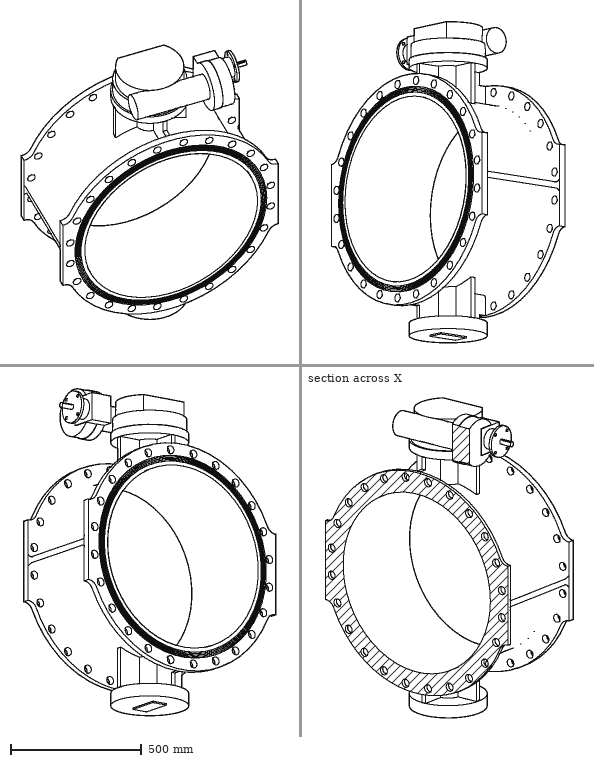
import cadquery as cq
import math

BORE_R = 718 / 2
WALL = 10
BARREL_R = BORE_R + WALL
FLANGE_R = 447.5
FLANGE_OUTER_X = 209
FLANGE_THICKNESS = 28
FLANGE_INNER_X = FLANGE_OUTER_X - FLANGE_THICKNESS
BARREL_FILLET = 12

EAR_HALF_HEIGHT = 160
EAR_FILLET = 40

FACE_R = 794 / 2
FACE_HEIGHT = 6
FACE_X = FLANGE_OUTER_X + FACE_HEIGHT
GROOVE_INNER_RADII = (375, 386)
GROOVE_WIDTH = 5.5
GROOVE_DEPTH = 2

BOLT_COUNT = 24
BOLT_CIRCLE_R = 420
BOLT_R = 31 / 2

SIDE_RIB_THICKNESS = 24
SIDE_RIB_Y = 439
SIDE_RIB_FILLET = 12
RIB_END_FILLET = 8

SEAM_TOL = 1

POST_R = 115 / 2
POST_Z = 497
PLATE_R = 300 / 2
ACROSS_RIB_THICKNESS = 16
ACROSS_RIB_HALF_WIDTH = 151.5
ALONG_RIB_THICKNESS = 20
ALONG_RIB_HALF_WIDTH = 146
BOTTOM_PLATE_Z = -547
PAD_LENGTH = 128
PAD_WIDTH = 64

TOP_PLATE_Z = 531
HOUSING_R = 285 / 2
HOUSING_Z = 589
COVER_R = 263 / 2
COVER_Z = 655
COVER_FLAT_X = -90

TOTAL_HEIGHT = 1252.42
DISC_R = 95
RIM_R = 93
WORM_X = 136
WORM_Z = 605
PAD_Z = WORM_Z + DISC_R - TOTAL_HEIGHT
WORM_R = 100 / 2
WORM_START_Y = -125
DISC_START_Y = 174
DISC_END_Y = 209
RIM_END_Y = 259
BLOCK_END_Y = 263
BLOCK_START_X = 16
BLOCK_END_X = 126
BLOCK_HALF_HEIGHT = 54

INPUT_X = 72.5
NECK_R = 80 / 2
INPUT_FLANGE_R = 125 / 2
INPUT_FLANGE_START_Y = 307
INPUT_FLANGE_END_Y = 317.5
INPUT_HOLE_R = 10.5 / 2
INPUT_HOLE_CIRCLE_R = 51
INPUT_HOLE_COUNT = 4
SHAFT_R = 20 / 2
SHAFT_END_Y = 369
KEYWAY_WIDTH = 6
KEYWAY_DEPTH = 3.5
KEYWAY_START_Y = 323
KEYWAY_END_Y = 363


def x_cylinder(radius, x_start, x_end):
    return cq.Workplane("YZ", origin=(x_start, 0, 0)).circle(radius).extrude(x_end - x_start)


def y_cylinder(radius, x, y_start, y_end):
    return cq.Workplane("XZ", origin=(x, y_start, WORM_Z)).circle(radius).extrude(y_start - y_end)


def z_cylinder(radius, z_start, z_end):
    return cq.Workplane("XY", origin=(0, 0, z_start)).circle(radius).extrude(z_end - z_start)


def box(x_range, y_range, z_range):
    sizes = [high - low for low, high in (x_range, y_range, z_range)]
    corner = (x_range[0], y_range[0], z_range[0])
    return cq.Workplane("XY").box(*sizes, centered=False).translate(corner)


def flange(x_start):
    """Round flange blended by concave arcs into a flat ear on each side."""
    blend_z = EAR_HALF_HEIGHT + EAR_FILLET
    blend_y = math.sqrt((FLANGE_R + EAR_FILLET) ** 2 - blend_z ** 2)
    shrink = FLANGE_R / (FLANGE_R + EAR_FILLET)
    tangent_y = blend_y * shrink
    tangent_z = blend_z * shrink
    bisector = (math.atan2(blend_z, blend_y) + math.pi / 2) / 2
    middle_y = blend_y - EAR_FILLET * math.cos(bisector)
    middle_z = blend_z - EAR_FILLET * math.sin(bisector)
    outline = (
        cq.Workplane("YZ", origin=(x_start, 0, 0))
        .moveTo(tangent_y, tangent_z)
        .threePointArc((0, FLANGE_R), (-tangent_y, tangent_z))
        .threePointArc((-middle_y, middle_z), (-blend_y, EAR_HALF_HEIGHT))
        .lineTo(-FLANGE_R, EAR_HALF_HEIGHT)
        .lineTo(-FLANGE_R, -EAR_HALF_HEIGHT)
        .lineTo(-blend_y, -EAR_HALF_HEIGHT)
        .threePointArc((-middle_y, -middle_z), (-tangent_y, -tangent_z))
        .threePointArc((0, -FLANGE_R), (tangent_y, -tangent_z))
        .threePointArc((middle_y, -middle_z), (blend_y, -EAR_HALF_HEIGHT))
        .lineTo(FLANGE_R, -EAR_HALF_HEIGHT)
        .lineTo(FLANGE_R, EAR_HALF_HEIGHT)
        .lineTo(blend_y, EAR_HALF_HEIGHT)
        .threePointArc((middle_y, middle_z), (tangent_y, tangent_z))
        .close()
    )
    return outline.extrude(FLANGE_THICKNESS)


def side_rib(side):
    """Rib between the flanges; side is +1 for +Y and -1 for -Y."""
    y_range = sorted((0, side * SIDE_RIB_Y))
    half = SIDE_RIB_THICKNESS / 2
    return box((-FLANGE_INNER_X, FLANGE_INNER_X), y_range, (-half, half))


def barrel_seams(x):
    """Edges where the barrel and its side ribs meet the flange face at x, and the rib ends."""
    reach = SIDE_RIB_Y + SEAM_TOL
    low = (x - SEAM_TOL, -reach, -reach)
    high = (x + SEAM_TOL, reach, reach)
    return cq.selectors.BoxSelector(low, high, boundingbox=True)


def rib_end_seam(x, side):
    """Edge where the outer face of one side rib meets the flange face at x."""
    y = side * SIDE_RIB_Y
    low = (x - SEAM_TOL, y - SEAM_TOL, -SEAM_TOL)
    high = (x + SEAM_TOL, y + SEAM_TOL, SEAM_TOL)
    return cq.selectors.BoxSelector(low, high)


def body_shell():
    """Barrel, ribs and flanges as one solid casting with filleted inner corners."""
    barrel = x_cylinder(BARREL_R, -FLANGE_INNER_X, FLANGE_INNER_X)
    barrel = barrel.union(side_rib(1)).union(side_rib(-1))
    seam_y = math.sqrt(BARREL_R ** 2 - (SIDE_RIB_THICKNESS / 2) ** 2)
    for side in (1, -1):
        y_seam = side * seam_y
        low = (-SEAM_TOL, y_seam - SEAM_TOL, -SIDE_RIB_THICKNESS)
        high = (SEAM_TOL, y_seam + SEAM_TOL, SIDE_RIB_THICKNESS)
        seam = cq.selectors.BoxSelector(low, high)
        barrel = barrel.edges(seam).fillet(SIDE_RIB_FILLET)
    shell = barrel.union(flange(-FLANGE_OUTER_X)).union(flange(FLANGE_INNER_X))
    for x in (-FLANGE_INNER_X, FLANGE_INNER_X):
        rib_ends = rib_end_seam(x, 1) + rib_end_seam(x, -1)
        shell = shell.edges(barrel_seams(x) - rib_ends).fillet(BARREL_FILLET)
        shell = shell.edges(rib_ends).fillet(RIB_END_FILLET)
    return shell


def stem_support(side):
    """Post with cross ribs; side is +1 for the top and -1 for the bottom."""
    half_across = ACROSS_RIB_THICKNESS / 2
    half_along = ALONG_RIB_THICKNESS / 2
    across_y = (-half_across, half_across)
    across_upper = box((-ACROSS_RIB_HALF_WIDTH, ACROSS_RIB_HALF_WIDTH), across_y, (0, POST_Z))
    across_lower = box((-FLANGE_INNER_X, FLANGE_INNER_X), across_y, (0, FLANGE_R))
    along = box((-half_along, half_along), (-ALONG_RIB_HALF_WIDTH, ALONG_RIB_HALF_WIDTH), (0, POST_Z))
    support = z_cylinder(POST_R, 0, POST_Z).union(across_upper).union(across_lower).union(along)
    return support if side > 0 else support.mirror("XY")


def bolt_holes():
    step = 360 / BOLT_COUNT
    holes = cq.Workplane("YZ", origin=(-FLANGE_OUTER_X, 0, 0))
    holes = holes.polarArray(BOLT_CIRCLE_R, step / 2, 360, BOLT_COUNT).circle(BOLT_R)
    near = holes.extrude(FLANGE_THICKNESS)
    return near.union(near.mirror("YZ"))


def face_grooves():
    grooves = cq.Workplane("XY")
    for radius in GROOVE_INNER_RADII:
        ring = (
            cq.Workplane("YZ", origin=(-FACE_X, 0, 0))
            .circle(radius + GROOVE_WIDTH)
            .circle(radius)
            .extrude(GROOVE_DEPTH)
        )
        grooves = grooves.add(ring).add(ring.mirror("YZ"))
    return grooves.combine()


def valve_body():
    left_face = x_cylinder(FACE_R, -FACE_X, -FLANGE_OUTER_X)
    right_face = x_cylinder(FACE_R, FLANGE_OUTER_X, FACE_X)
    body = body_shell().union(left_face).union(right_face)
    body = body.union(stem_support(1)).union(stem_support(-1))
    body = body.cut(x_cylinder(BORE_R, -FACE_X, FACE_X))
    return body.cut(bolt_holes()).cut(face_grooves())


def bottom_cover():
    pad = box((-PAD_LENGTH / 2, PAD_LENGTH / 2), (-PAD_WIDTH / 2, PAD_WIDTH / 2), (PAD_Z, BOTTOM_PLATE_Z))
    return z_cylinder(PLATE_R, BOTTOM_PLATE_Z, -POST_Z).union(pad)


def gearbox():
    plate = z_cylinder(PLATE_R, POST_Z, TOP_PLATE_Z)
    housing = z_cylinder(HOUSING_R, TOP_PLATE_Z, HOUSING_Z)
    cover = z_cylinder(COVER_R, HOUSING_Z, COVER_Z)
    flat = box((-COVER_R, COVER_FLAT_X), (-COVER_R, COVER_R), (HOUSING_Z, COVER_Z))
    return plate.union(housing).union(cover.cut(flat))


def input_block():
    """Block beside the worm disc, running into the rim."""
    bottom_z = WORM_Z - BLOCK_HALF_HEIGHT
    top_z = WORM_Z + BLOCK_HALF_HEIGHT
    return box((BLOCK_START_X, BLOCK_END_X), (DISC_START_Y, BLOCK_END_Y), (bottom_z, top_z))


def worm_drive():
    worm = y_cylinder(WORM_R, WORM_X, WORM_START_Y, DISC_START_Y)
    disc = y_cylinder(DISC_R, WORM_X, DISC_START_Y, DISC_END_Y)
    rim = y_cylinder(RIM_R, WORM_X, DISC_END_Y, RIM_END_Y)
    return worm.union(disc).union(rim).union(input_block())


def input_shaft():
    neck = y_cylinder(NECK_R, INPUT_X, BLOCK_END_Y, INPUT_FLANGE_START_Y)
    plate = y_cylinder(INPUT_FLANGE_R, INPUT_X, INPUT_FLANGE_START_Y, INPUT_FLANGE_END_Y)
    holes = (
        cq.Workplane("XZ", origin=(INPUT_X, INPUT_FLANGE_START_Y, WORM_Z))
        .polarArray(INPUT_HOLE_CIRCLE_R, 180 / INPUT_HOLE_COUNT, 360, INPUT_HOLE_COUNT)
        .circle(INPUT_HOLE_R)
        .extrude(INPUT_FLANGE_START_Y - INPUT_FLANGE_END_Y)
    )
    shaft = y_cylinder(SHAFT_R, INPUT_X, INPUT_FLANGE_END_Y, SHAFT_END_Y)
    half_key = KEYWAY_WIDTH / 2
    shaft_top = WORM_Z + SHAFT_R
    keyway = box(
        (INPUT_X - half_key, INPUT_X + half_key),
        (KEYWAY_START_Y, KEYWAY_END_Y),
        (shaft_top - KEYWAY_DEPTH, shaft_top),
    )
    return neck.union(plate.cut(holes)).union(shaft.cut(keyway))


result = (
    valve_body()
    .union(bottom_cover())
    .union(gearbox())
    .union(worm_drive())
    .union(input_shaft())
)